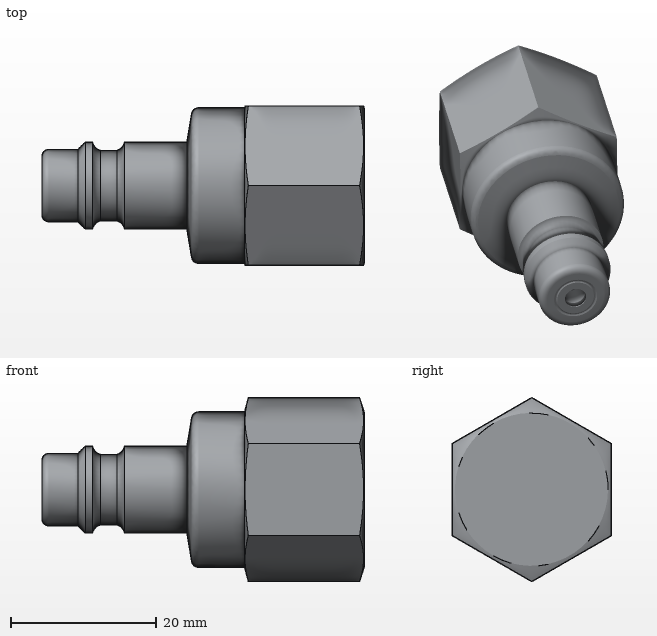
import cadquery as cq
import math

total_length = 44.5
shoulder_x = 20.0
hex_start_x = 27.95

tip_radius = 10.0 / 2
tip_fillet = 1.0
plug_radius = 12.0 / 2
neck_radius = 9.75 / 2
ring_rise_x = 5.0
ring_start_x = ring_rise_x + plug_radius - tip_radius
ring_end_x = 7.0
neck_start_x = 8.05
neck_end_x = 10.35
plug_body_x = 11.4
flank_sag = 0.22

collar_radius = 21.5 / 2
collar_fillet = 1.02
collar_face_angle = 9.5

hex_across_flats = 22.0
hex_chamfer_angle = 15.0
end_chamfer_angle = 18.0
end_face_radius = 10.55

groove_outer_radius = 6.05 / 2
groove_floor_outer_radius = 5.6 / 2
groove_floor_inner_radius = 5.45 / 2
groove_inner_radius = 5.1 / 2
groove_depth = 0.1
hole_radius = 3.0 / 2
disc_thickness = 0.15
hollow_radius = groove_floor_inner_radius
hollow_floor_x = 1.0
hole_end_x = 4.0


def hollow_point(start, end):
    """Middle point of a concave flank, moved towards the axis by its sag."""
    dx = end[0] - start[0]
    dr = end[1] - start[1]
    length = math.hypot(dx, dr)
    middle_x = (start[0] + end[0]) / 2
    middle_r = (start[1] + end[1]) / 2
    return (middle_x + flank_sag * dr / length, middle_r - flank_sag * dx / length)


def revolve_about_x(profile):
    return profile.close().revolve(360, (0, 0, 0), (1, 0, 0))


def make_plug():
    ring_end = (ring_end_x, plug_radius)
    neck_start = (neck_start_x, neck_radius)
    neck_end = (neck_end_x, neck_radius)
    body_start = (plug_body_x, plug_radius)
    profile = (
        cq.Workplane("XY")
        .lineTo(0, tip_radius - tip_fillet)
        .radiusArc((tip_fillet, tip_radius), tip_fillet)
        .lineTo(ring_rise_x, tip_radius)
        .lineTo(ring_start_x, plug_radius)
        .lineTo(*ring_end)
        .threePointArc(hollow_point(ring_end, neck_start), neck_start)
        .lineTo(*neck_end)
        .threePointArc(hollow_point(neck_end, body_start), body_start)
        .lineTo(hex_start_x, plug_radius)
        .lineTo(hex_start_x, 0)
    )
    return revolve_about_x(profile)


def make_collar():
    face_depth = (collar_radius - plug_radius) * math.tan(math.radians(collar_face_angle))
    collar_end_x = (hex_start_x + total_length) / 2
    collar = revolve_about_x(
        cq.Workplane("XY")
        .moveTo(shoulder_x, 0)
        .lineTo(shoulder_x, plug_radius)
        .lineTo(shoulder_x + face_depth, collar_radius)
        .lineTo(collar_end_x, collar_radius)
        .lineTo(collar_end_x, 0)
    )
    rim = cq.selectors.NearestToPointSelector((shoulder_x + face_depth, 0, 0))
    return collar.edges(rim).fillet(collar_fillet)


def make_hexagon():
    corner_radius = hex_across_flats / math.sqrt(3)
    slope = math.tan(math.radians(hex_chamfer_angle))
    end_slope = math.tan(math.radians(end_chamfer_angle))
    prism = (
        cq.Workplane("YZ", origin=(hex_start_x, 0, 0))
        .polygon(6, 2 * corner_radius)
        .extrude(total_length - hex_start_x)
        .rotate((0, 0, 0), (1, 0, 0), 90)
    )
    envelope = revolve_about_x(
        cq.Workplane("XY")
        .moveTo(hex_start_x, 0)
        .lineTo(hex_start_x, collar_radius)
        .lineTo(hex_start_x + (corner_radius - collar_radius) * slope, corner_radius)
        .lineTo(total_length - (corner_radius - end_face_radius) * end_slope, corner_radius)
        .lineTo(total_length, end_face_radius)
        .lineTo(total_length, 0)
    )
    return prism.intersect(envelope)


def make_tip_groove():
    profile = (
        cq.Workplane("XY")
        .moveTo(0, groove_outer_radius)
        .lineTo(groove_depth, groove_floor_outer_radius)
        .lineTo(groove_depth, groove_floor_inner_radius)
        .lineTo(0, groove_inner_radius)
    )
    return revolve_about_x(profile)


def make_bore():
    profile = (
        cq.Workplane("XY")
        .lineTo(0, hole_radius)
        .lineTo(disc_thickness, hole_radius)
        .lineTo(disc_thickness, hollow_radius)
        .lineTo(hollow_floor_x, hollow_radius)
        .lineTo(hollow_floor_x, hole_radius)
        .lineTo(hole_end_x, hole_radius)
        .lineTo(hole_end_x, 0)
    )
    return revolve_about_x(profile)


body = make_plug().union(make_collar()).union(make_hexagon())
result = body.cut(make_tip_groove()).cut(make_bore())